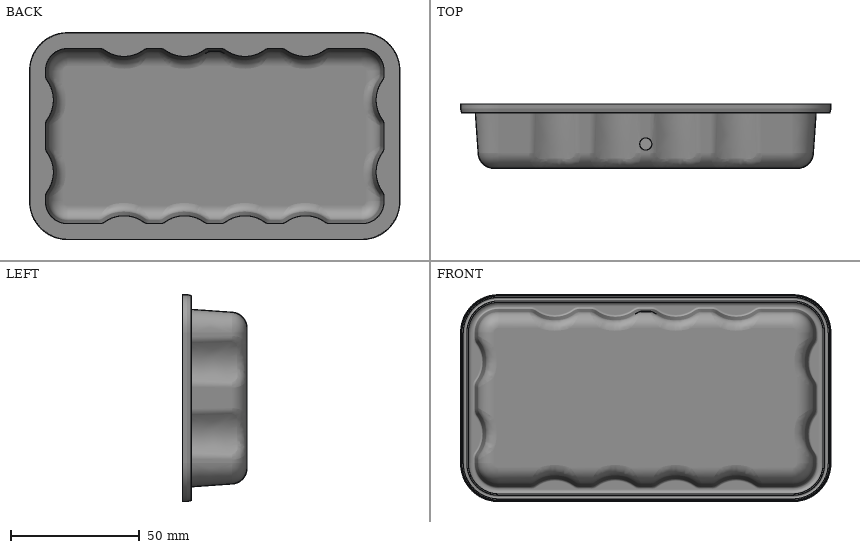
import cadquery as cq
import math

LENGTH = 143.94
WIDTH = 80.44
DEPTH = 25.15
OPEN_Y = DEPTH / 2

WALL = 0.7
DRAFT = 4.0
SLOPE = math.tan(math.radians(DRAFT))
WALL_ACROSS = WALL / math.cos(math.radians(DRAFT))

RIM_CORNER = 14.85
FLANGE = 1.95
FLANGE_FILLET = 0.8

RIM_DEPTH = 3.6
RIDGE_ROOT = FLANGE / 2
LIP_TAPER = 0.35
LIP_EDGE = 0.2
LIP_INNER = 1.05
GROOVE_RADIUS = 0.7
RIDGE_TIP = 0.55
COVE_RADIUS = RIM_DEPTH - FLANGE

BOWL_INSET = 5.6
BOWL_FILLET = 6.3

SCALLOP_RADIUS = 12.3
SCALLOP_DEPTH = 3.1
SCALLOP_FILLET = 4.1
LONG_SIDE_PITCH = 23.5
LONG_SIDE_COUNT = 4
SHORT_SIDE_PITCH = 28.0
SHORT_SIDE_COUNT = 2

HOLE_DIAMETER = 4.7
HOLE_DEPTH = 15.65

TOLERANCE = 0.01


def rounded_block(inset, top_y, height, draft=0):
    """Rounded rectangle set in from the rim edge, extruded towards -Y from top_y."""
    return (
        cq.Workplane("XZ", origin=(0, top_y, 0))
        .sketch()
        .rect(LENGTH - 2 * inset, WIDTH - 2 * inset)
        .vertices()
        .fillet(RIM_CORNER - inset)
        .finalize()
        .extrude(height, taper=draft)
    )


def row(count, pitch):
    """Evenly spaced positions centred on zero."""
    return [(i - (count - 1) / 2) * pitch for i in range(count)]


def scallop_cutter(x, z, radius):
    """Cone standing on the open face and widening towards the floor."""
    return cq.Workplane("XZ", origin=(x, OPEN_Y, z)).circle(radius).extrude(DEPTH, taper=-DRAFT)


def bowl(wall_offset, floor_offset):
    """Scalloped bowl; the offsets move its walls and floor inwards."""
    inset = BOWL_INSET - FLANGE * SLOPE + wall_offset
    block = rounded_block(inset, OPEN_Y, DEPTH - floor_offset, DRAFT)
    block = block.faces("<Y").edges().fillet(BOWL_FILLET - floor_offset)

    radius = SCALLOP_RADIUS + floor_offset
    reach = radius - inset - SCALLOP_DEPTH
    for side in (-1, 1):
        for x in row(LONG_SIDE_COUNT, LONG_SIDE_PITCH):
            block = block.cut(scallop_cutter(x, side * (WIDTH / 2 + reach), radius))
        for z in row(SHORT_SIDE_COUNT, SHORT_SIDE_PITCH):
            block = block.cut(scallop_cutter(side * (LENGTH / 2 + reach), z, radius))

    def is_scallop(face):
        center = face.Center()
        past_end = abs(center.x) > LENGTH / 2 - RIM_CORNER
        past_side = abs(center.z) > WIDTH / 2 - RIM_CORNER
        return not (past_end and past_side)

    edges = block.faces("%CONE").filter(is_scallop).edges()
    edges = edges.filter(lambda edge: edge.Center().y < OPEN_Y - FLANGE / 2)
    return edges.fillet(SCALLOP_FILLET - floor_offset)


def rim_ridges():
    """Outer lip and inner ridge with a round groove between, swept round the rim."""

    def at(inset, depth):
        """Profile point by inset from the rim edge and depth below the open face."""
        return (-LENGTH / 2 + inset, OPEN_Y - depth)

    groove_mid = LIP_INNER + GROOVE_RADIUS
    groove_end = groove_mid + GROOVE_RADIUS
    ridge_end = groove_end + RIDGE_TIP
    cove_end = ridge_end + COVE_RADIUS
    cove_bulge = COVE_RADIUS * (1 - math.sqrt(0.5))
    profile = (
        cq.Workplane("XY")
        .moveTo(*at(0, RIDGE_ROOT))
        .lineTo(*at(0, FLANGE))
        .lineTo(*at(LIP_TAPER, RIM_DEPTH - LIP_EDGE))
        .lineTo(*at(LIP_TAPER + LIP_EDGE, RIM_DEPTH))
        .lineTo(*at(LIP_INNER, RIM_DEPTH))
        .threePointArc(at(groove_mid, RIM_DEPTH - GROOVE_RADIUS), at(groove_end, RIM_DEPTH))
        .lineTo(*at(ridge_end, RIM_DEPTH))
        .threePointArc(at(ridge_end + cove_bulge, FLANGE + cove_bulge), at(cove_end, FLANGE))
        .lineTo(*at(cove_end, RIDGE_ROOT))
        .close()
    )
    x = LENGTH / 2
    z = WIDTH / 2
    cx = x - RIM_CORNER
    cz = z - RIM_CORNER
    bend = RIM_CORNER * math.sqrt(0.5)
    path = (
        cq.Workplane("XZ")
        .moveTo(-x, 0)
        .lineTo(-x, cz)
        .threePointArc((-cx - bend, cz + bend), (-cx, z))
        .lineTo(cx, z)
        .threePointArc((cx + bend, cz + bend), (x, cz))
        .lineTo(x, -cz)
        .threePointArc((cx + bend, -cz - bend), (cx, -z))
        .lineTo(-cx, -z)
        .threePointArc((-cx - bend, -cz - bend), (-x, -cz))
        .close()
    )
    return profile.sweep(path)


flange = rounded_block(0, OPEN_Y, FLANGE)
body = flange.union(bowl(0, 0))

under_flange = OPEN_Y - FLANGE
half_length = LENGTH / 2 - BOWL_INSET / 2
half_width = WIDTH / 2 - BOWL_INSET / 2
bowl_root = cq.selectors.BoxSelector(
    (-half_length, under_flange - TOLERANCE, -half_width),
    (half_length, under_flange + TOLERANCE, half_width),
    boundingbox=True,
)
body = body.edges(bowl_root).fillet(FLANGE_FILLET)
body = body.union(rim_ridges())

body = body.cut(bowl(WALL_ACROSS, WALL))

hole = cq.Workplane("XY", origin=(0, OPEN_Y - HOLE_DEPTH, 0)).circle(HOLE_DIAMETER / 2).extrude(WIDTH / 2)
result = body.cut(hole)